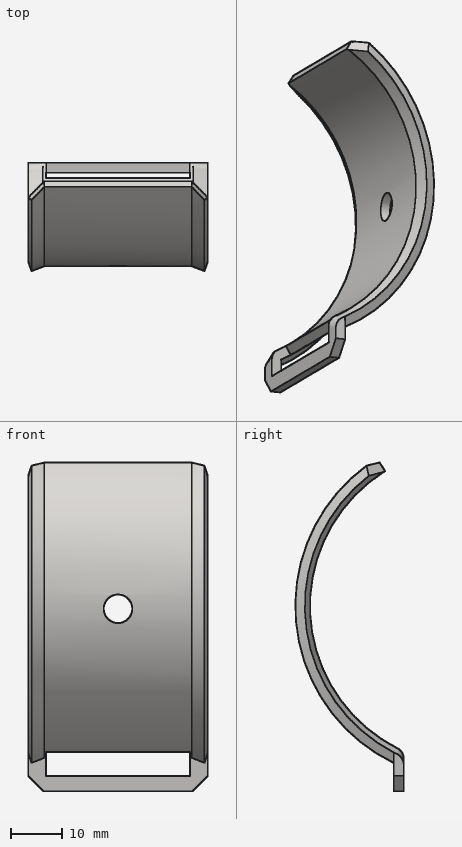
import cadquery as cq
import math

width = 35.0
depth = 21.1
height = 64.0
sheet = 2.0

inner_radius = 31.0
outer_radius = inner_radius + sheet
flange_angle = math.radians(20)
flange_width = 3.2
corner = 3.0
half_width = width / 2
bend_x = half_width - flange_width
flange_rise = (flange_width - sheet * math.sin(flange_angle)) * math.tan(flange_angle)
tip_radius = outer_radius + flange_rise

top_z = 28.0
bottom_z = top_z - height
end_angle = math.asin(top_z / outer_radius)
tab_back = depth - tip_radius
tab_front = tab_back - sheet
tab_bend_radius = 2.25

slot_width = 28.0
slot_bar = 3.0
slot_end_angle = math.radians(59.5)
hole_diameter = 5.5
hole_z = -0.5


def revolved(points):
    """Full ring about X from a section given as (x, radius) points."""
    return cq.Workplane("XY").polyline(points).close().revolve(360, (0, 0, 0), (1, 0, 0))


def mirrored_section(half):
    """Add the matching points on the -X side of a half section."""
    return half + [(-x, radius) for x, radius in reversed(half)]


tip_x = half_width - sheet * math.sin(flange_angle)
inner_tip_radius = tip_radius - sheet * math.cos(flange_angle)
inner_bend_x = bend_x + sheet * math.tan(flange_angle / 2)
outer_half = [(bend_x, outer_radius), (tip_x, tip_radius)]
inner_half = [(half_width, inner_tip_radius), (inner_bend_x, inner_radius)]
ring = revolved(mirrored_section(outer_half + inner_half))
hollow = revolved(mirrored_section([(half_width, 0)] + inner_half))

band_space = cq.Workplane("XY").box(width, depth, height, centered=(True, False, False))
lower_space = band_space.translate((0, tab_front - depth, -height))
upper_space = cq.Workplane("XY").box(width, 2 * depth, height, centered=(True, False, False))
upper_space = upper_space.translate((0, -2 * depth, 0))
lower_band = ring.intersect(lower_space)
upper_band = ring.intersect(upper_space)


def past_end_cutter():
    """Everything beyond the upper band end, with 45 degree corners from the flange bends."""
    reach = height
    outline = [
        (-bend_x, 0),
        (bend_x, 0),
        (bend_x + reach, -reach),
        (bend_x + reach, reach),
        (-bend_x - reach, reach),
        (-bend_x - reach, -reach),
    ]
    radial = (0, -math.cos(end_angle), math.sin(end_angle))
    origin = tuple(inner_radius * part for part in radial)
    plane = cq.Plane(origin=origin, xDir=(1, 0, 0), normal=radial)
    cutter = cq.Workplane(plane).polyline(outline).close().extrude(reach, both=True)
    return cutter.intersect(upper_space)


tab = (
    cq.Workplane("XZ", origin=(0, tab_back, 0))
    .polyline([
        (-half_width + corner, bottom_z),
        (half_width - corner, bottom_z),
        (half_width, bottom_z + corner),
        (half_width, 0),
        (-half_width, 0),
        (-half_width, bottom_z + corner),
    ])
    .close()
    .extrude(sheet)
    .cut(hollow)
)
edge_margin = 0.005
upper_back_edges = cq.selectors.BoxSelector(
    (-width, tab_back - edge_margin, bottom_z + 2 * corner),
    (width, tab_back + edge_margin, 0),
)
tab = tab.edges(upper_back_edges).edges("not |Z").fillet(tab_bend_radius)

result = upper_band.cut(past_end_cutter()).union(lower_band).union(tab)

slot_bottom = bottom_z + slot_bar
slot_reach = 1.1 * tip_radius
slot_front = -slot_reach * math.cos(slot_end_angle)
slot_profile = [
    (0, 0),
    (slot_front, -slot_reach * math.sin(slot_end_angle)),
    (slot_front, slot_bottom),
    (0, slot_bottom),
]
slot = cq.Workplane("YZ").polyline(slot_profile).close().extrude(slot_width / 2, both=True)
hole = cq.Workplane("XZ").center(0, hole_z).circle(hole_diameter / 2).extrude(2 * outer_radius)
result = result.cut(slot).cut(hole)